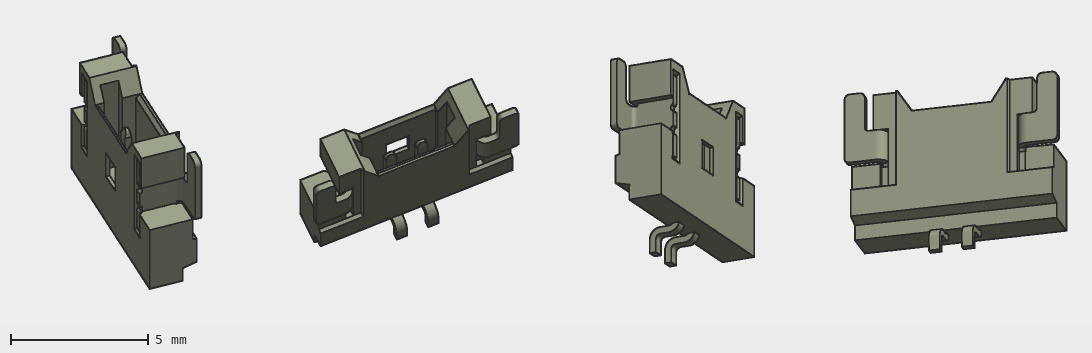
import cadquery as cq

base_width = 7.65
base_height = 2.74
upper_width = 6.04
height = 5.49
depth = 1.86
foot_depth = 1.3
foot_height = 0.58
foot_slope_top = 0.73

opening_top = 4.13
opening_bottom = 3.02
wall_top = 4.63

front_wall = 0.15
pocket_back = 1.6
pocket_floor = 1.23
lead_in = 0.15
key_width = 3.745
key_front = 0.355
key_back = 1.065

window_width = 0.9
window_bottom = 2.08
window_top = 3.17

tab_recess_back = 1.695
tab_recess_floor = 1.83
tab_recess_lip = 1.775
tab_recess_inner = 2.16
tab_recess_inner_lip = 2.11

sheet = 0.26
metal_back = tab_recess_back + sheet

plate_outer = 2.71
plate_inner = plate_outer - sheet
plate_front = 0.05
plate_bottom = 1.85
plate_top = 4.99
plate_shoulder = 1.47
plate_shoulder_rise = 0.13
clip_bend = 0.16

dimple_middle = 3.3
dimple_near = 0.28
dimple_deep = 0.41
dimple_round_end = 0.53
dimple_far = 0.63
dimple_depth = 0.11
dimple_end_depth = 0.07
dimple_lip = 0.57
dimple_lip_depth = 0.025

mouth_depth = 0.15
mouth_bottom = 1.67
mouth_top = 5.14
mouth_inner = 2.3
mouth_outer_low = 2.87
mouth_outer_high = 2.825

notch_top = 4.09
rear_gap = 0.04

tab_outer = 4.035
tab_inner = 3.27
tab_bottom = 2.82
tab_arm_top = 3.99
tab_top = 5.51
tab_top_radius = 0.21
tab_corner_radius = 0.15

pin_pitch = 1.25
pin_width = 0.41
pin_front = 0.735
pin_top = 3.94
pin_bottom = -1.02
pin_bend = 0.18
pin_step_bottom = -0.33
pin_arch_start = 3.77
pin_arch_width = 0.34
pin_taper_start = 3.66
pin_front_chamfer = 0.08
pin_back_chamfer = 0.06
collar_width = 0.51
collar_rise = 0.08
collar_thickness = 0.275

notch_middle = (base_height + notch_top) / 2


def box(x0, x1, y0, y1, z0, z1):
    return cq.Workplane("XY").box(x1 - x0, y1 - y0, z1 - z0, centered=False).translate((x0, y0, z0))


def centred_box(width, y0, y1, z0, z1):
    return box(-width / 2, width / 2, y0, y1, z0, z1)


def side_prism(points, x0, x1):
    """Extrude a (Y, Z) outline from x0 to x1."""
    return cq.Workplane("YZ").polyline(points).close().extrude(x1 - x0).translate((x0, 0, 0))


def front_prism(points, y0, y1):
    """Extrude an (X, Z) outline from y0 to y1."""
    return cq.Workplane("XZ").polyline(points).close().extrude(y0 - y1).translate((0, y0, 0))


def both_sides(shape):
    return shape.union(shape.mirror("YZ"))


def housing_blank():
    outline = [
        (0, 0),
        (foot_depth, 0),
        (foot_depth, foot_height),
        (depth, foot_slope_top),
        (depth, height),
        (0, height),
    ]
    blank = side_prism(outline, -base_width / 2, base_width / 2)
    shoulder = box(upper_width / 2, base_width / 2, 0, depth, base_height, height)
    return blank.cut(both_sides(shoulder))


def v_opening():
    outline = [
        (-opening_bottom / 2, wall_top),
        (opening_bottom / 2, wall_top),
        (opening_top / 2, height),
        (-opening_top / 2, height),
    ]
    return front_prism(outline, 0, depth)


def pocket():
    main = centred_box(opening_bottom, front_wall, pocket_back, pocket_floor, height)
    keys = centred_box(key_width, key_front, key_back, pocket_floor, height)
    funnel_outline = [
        (front_wall, wall_top - lead_in),
        (pocket_back, wall_top - lead_in),
        (pocket_back + lead_in, wall_top),
        (front_wall - lead_in, wall_top),
    ]
    funnel = side_prism(funnel_outline, -opening_bottom / 2, opening_bottom / 2)
    return main.union(keys).union(funnel)


def tab_recess():
    plan = [
        (tab_recess_inner, tab_recess_back),
        (tab_recess_inner_lip, depth),
        (base_width / 2, depth),
        (base_width / 2, tab_recess_back),
    ]
    recess = cq.Workplane("XY").polyline(plan).close().extrude(height)
    floor_outline = [
        (tab_recess_back, tab_recess_floor),
        (depth, tab_recess_lip),
        (depth, height),
        (tab_recess_back, height),
    ]
    return recess.intersect(side_prism(floor_outline, 0, base_width / 2))


def mouth_half(outer, z_front, z_back):
    """Taper from the front face down to the clip plate over one half of its height."""
    front = [(mouth_inner, z_front), (outer, z_front), (outer, notch_middle), (mouth_inner, notch_middle)]
    back = [
        (plate_inner, z_back),
        (plate_outer, z_back),
        (plate_outer, notch_middle),
        (plate_inner, notch_middle),
    ]
    sections = cq.Workplane("XZ").polyline(front).close()
    return sections.workplane(offset=-mouth_depth).polyline(back).close().loft(ruled=True)


def rear_clearance():
    """Slot behind the clip plate, running down from the side notch."""
    outer = plate_outer + rear_gap
    return box(plate_inner, outer, plate_shoulder, tab_recess_back, tab_recess_floor, base_height)


def clip_plate():
    def dimple_point(direction, distance, inset):
        return (plate_front + inset, dimple_middle + direction * distance)

    bend_start = tab_recess_back - clip_bend
    outline = (
        cq.Workplane("YZ")
        .moveTo(plate_front, plate_top)
        .lineTo(*dimple_point(1, dimple_far, 0))
        .threePointArc(
            dimple_point(1, dimple_lip, dimple_lip_depth),
            dimple_point(1, dimple_round_end, dimple_end_depth),
        )
        .threePointArc(dimple_point(1, dimple_deep, dimple_depth), dimple_point(1, dimple_near, 0))
        .lineTo(*dimple_point(-1, dimple_near, 0))
        .threePointArc(
            dimple_point(-1, dimple_deep, dimple_depth),
            dimple_point(-1, dimple_round_end, dimple_end_depth),
        )
        .threePointArc(dimple_point(-1, dimple_lip, dimple_lip_depth), dimple_point(-1, dimple_far, 0))
        .lineTo(plate_front, plate_bottom)
        .lineTo(plate_shoulder, plate_bottom)
        .lineTo(plate_shoulder, tab_bottom - plate_shoulder_rise)
        .lineTo(bend_start, tab_bottom)
        .lineTo(bend_start, tab_arm_top)
        .lineTo(plate_shoulder, tab_arm_top + plate_shoulder_rise)
        .lineTo(plate_shoulder, plate_top)
        .close()
    )
    return outline.extrude(sheet).translate((plate_inner, 0, 0))


def clip_bend_and_tab():
    bend_x = plate_outer + clip_bend
    bend_y = tab_recess_back - clip_bend
    arm_height = tab_arm_top - tab_bottom
    bend = (
        cq.Workplane("XY", origin=(bend_x, bend_y, tab_bottom))
        .circle(clip_bend + sheet)
        .circle(clip_bend)
        .extrude(arm_height)
        .intersect(box(plate_inner, bend_x, bend_y, metal_back, tab_bottom, tab_arm_top))
    )
    arm = box(bend_x, tab_outer, tab_recess_back, metal_back, tab_bottom, tab_arm_top)
    blade = box(tab_inner, tab_outer, tab_recess_back, metal_back, tab_bottom, tab_top)
    tab = arm.union(blade).clean()
    tab = tab.edges("|Y and >Z").fillet(tab_top_radius)
    tab = tab.edges("|Y and >X and <Z").fillet(tab_corner_radius)
    inside_corner = cq.selectors.NearestToPointSelector((tab_inner, metal_back - sheet / 2, tab_arm_top))
    tab = tab.edges(inside_corner).fillet(tab_corner_radius)
    return bend.union(tab)


def pin_blade():
    """Upright sheet of the pin with its rounded, chamfered tip."""
    half = pin_width / 2
    half_arch = pin_arch_width / 2
    profile = (
        cq.Workplane("XZ")
        .moveTo(-half, 0)
        .lineTo(half, 0)
        .lineTo(half, pin_taper_start)
        .lineTo(half_arch, pin_arch_start)
        .threePointArc((0, pin_top), (-half_arch, pin_arch_start))
        .lineTo(-half, pin_taper_start)
        .close()
        .extrude(-sheet)
        .translate((0, pin_front, 0))
    )
    pin_back = pin_front + sheet
    side_outline = [
        (pin_front, 0),
        (pin_back, 0),
        (pin_back, pin_taper_start),
        (pin_back - pin_back_chamfer, pin_top),
        (pin_front + pin_front_chamfer, pin_top),
        (pin_front, pin_taper_start),
    ]
    return profile.intersect(side_prism(side_outline, -half, half))


def pin_collar():
    outline = [
        (-collar_width / 2, pocket_floor),
        (collar_width / 2, pocket_floor),
        (pin_width / 2, pocket_floor + collar_rise),
        (-pin_width / 2, pocket_floor + collar_rise),
    ]
    return front_prism(outline, pin_front, pin_front + collar_thickness)


def pin_lead():
    """S-shaped solder lead below the housing."""
    leg_mid = metal_back - sheet / 2
    blade_mid = pin_front + sheet / 2
    step_mid = pin_step_bottom + sheet / 2
    mid_radius = pin_bend + sheet / 2
    path = (
        cq.Workplane("YZ")
        .moveTo(leg_mid, pin_bottom)
        .lineTo(leg_mid, step_mid - mid_radius)
        .tangentArcPoint((-mid_radius, mid_radius))
        .lineTo(blade_mid + mid_radius, step_mid)
        .tangentArcPoint((-mid_radius, mid_radius))
        .lineTo(blade_mid, pocket_floor)
    )
    section = cq.Workplane("XY", origin=(0, leg_mid, pin_bottom)).rect(pin_width, sheet)
    return section.sweep(path)


housing = housing_blank().cut(v_opening()).cut(pocket())
housing = housing.cut(centred_box(window_width, 0, front_wall, window_bottom, window_top))
housing = housing.cut(both_sides(tab_recess()))

side_notch = box(plate_inner, upper_width / 2, 0, depth, base_height, notch_top)
mouth = mouth_half(mouth_outer_low, mouth_bottom, plate_bottom)
mouth = mouth.union(mouth_half(mouth_outer_high, mouth_top, plate_top))
housing = housing.cut(both_sides(side_notch.union(mouth).union(rear_clearance())))

clip = clip_plate().union(clip_bend_and_tab())
pin = pin_blade().union(pin_collar()).union(pin_lead())

result = housing.union(both_sides(clip))
for side in (-1, 1):
    result = result.union(pin.translate((side * pin_pitch / 2, 0, 0)))